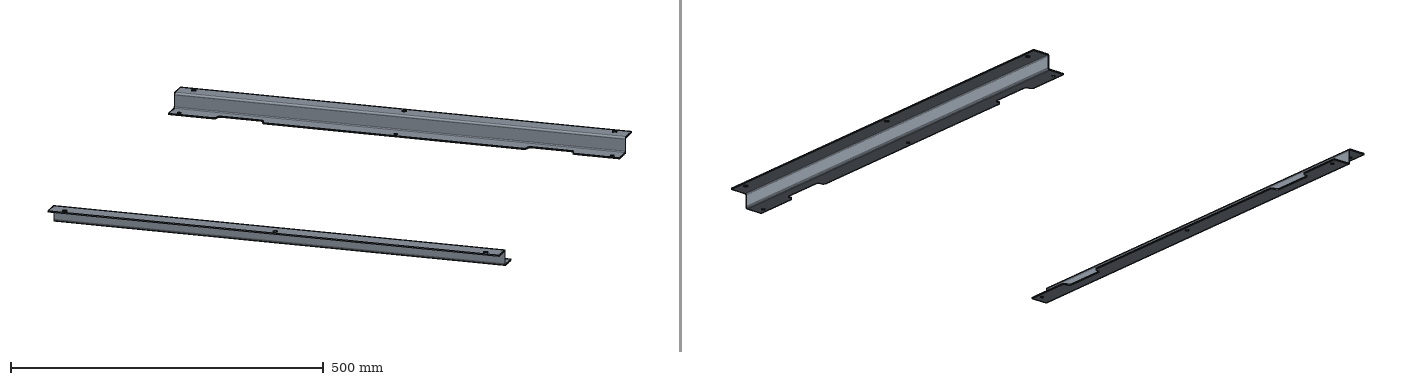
import cadquery as cq

LENGTH = 758.0
OVERALL_WIDTH = 686.0
HEIGHT = 27.0
BRACKET_WIDTH = 62.0

SHEET = 2.0
INNER_BEND = 1.5
OUTER_BEND = INNER_BEND + SHEET

TOP_HOLE_DIAMETER = 7.1
TOP_HOLE_EDGE = 9.0
TOP_HOLE_SPAN = 707.5
BOTTOM_HOLE_DIAMETER = 5.5
BOTTOM_HOLE_EDGE = 8.0
BOTTOM_HOLE_SPAN = 728.0

NOTCH_START = 79.5
NOTCH_LENGTH = 77.0
NOTCH_DEPTH = 12.0
NOTCH_FILLET = 5.0

OUTER_EDGE = -OVERALL_WIDTH / 2
INNER_EDGE = OUTER_EDGE + BRACKET_WIDTH
WEB_CENTRE = (OUTER_EDGE + INNER_EDGE) / 2
WEB_OUTER = WEB_CENTRE - SHEET / 2
WEB_INNER = WEB_CENTRE + SHEET / 2
NOTCH_CENTRE = LENGTH / 2 - NOTCH_START - NOTCH_LENGTH / 2


def bent_sheet():
    """Z-shaped strip: top flange outward (-Y), web, bottom flange inward (+Y)."""
    profile = (
        cq.Workplane("YZ", origin=(-LENGTH / 2, 0, 0))
        .moveTo(OUTER_EDGE, HEIGHT)
        .lineTo(WEB_INNER, HEIGHT)
        .lineTo(WEB_INNER, SHEET)
        .lineTo(INNER_EDGE, SHEET)
        .lineTo(INNER_EDGE, 0)
        .lineTo(WEB_OUTER, 0)
        .lineTo(WEB_OUTER, HEIGHT - SHEET)
        .lineTo(OUTER_EDGE, HEIGHT - SHEET)
        .close()
    )
    strip = profile.extrude(LENGTH)
    outer_corners = [(WEB_INNER, HEIGHT), (WEB_OUTER, 0)]
    inner_corners = [(WEB_INNER, SHEET), (WEB_OUTER, HEIGHT - SHEET)]
    for corners, radius in ((outer_corners, OUTER_BEND), (inner_corners, INNER_BEND)):
        for y, z in corners:
            strip = strip.edges(cq.NearestToPointSelector((0, y, z))).fillet(radius)
    return strip


def hole_row(diameter, span, y, bottom, top):
    """Three vertical cutters: one near each end and one at mid-length."""
    reach = span / 2
    return (
        cq.Workplane("XY", origin=(0, y, bottom))
        .pushPoints([(-reach, 0), (0, 0), (reach, 0)])
        .circle(diameter / 2)
        .extrude(top - bottom)
    )


def notch(x):
    """Cutter with rounded inner corners, its mouth flared by round outer corners."""
    half = NOTCH_LENGTH / 2
    floor = INNER_EDGE - NOTCH_DEPTH
    radius = NOTCH_FILLET
    return (
        cq.Workplane("XY", origin=(x, 0, 0))
        .moveTo(-half - radius, INNER_EDGE)
        .radiusArc((-half, INNER_EDGE - radius), radius)
        .lineTo(-half, floor + radius)
        .radiusArc((-half + radius, floor), -radius)
        .lineTo(half - radius, floor)
        .radiusArc((half, floor + radius), -radius)
        .lineTo(half, INNER_EDGE - radius)
        .radiusArc((half + radius, INNER_EDGE), radius)
        .close()
        .extrude(SHEET)
    )


def bracket():
    """The bracket on the -Y side."""
    body = bent_sheet()
    body = body.cut(
        hole_row(TOP_HOLE_DIAMETER, TOP_HOLE_SPAN, OUTER_EDGE + TOP_HOLE_EDGE, HEIGHT - SHEET, HEIGHT)
    )
    body = body.cut(
        hole_row(BOTTOM_HOLE_DIAMETER, BOTTOM_HOLE_SPAN, INNER_EDGE - BOTTOM_HOLE_EDGE, 0, SHEET)
    )
    for x in (-NOTCH_CENTRE, NOTCH_CENTRE):
        body = body.cut(notch(x))
    return body


brackets = []
for angle in (0, 180):
    placed = bracket().rotate((0, 0, 0), (0, 0, 1), angle)
    brackets.append(placed.val())

result = cq.Compound.makeCompound(brackets)